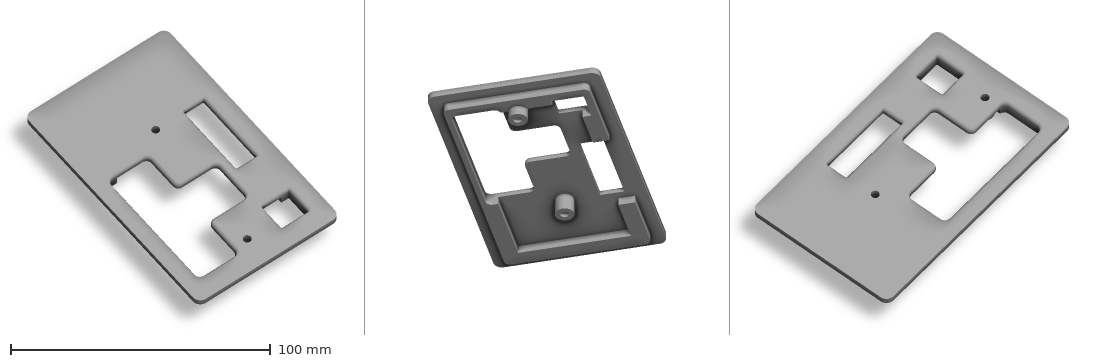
import cadquery as cq

plate_length = 111.3
plate_width = 68.5
plate_thickness = 2.7
plate_corner_radius = 3.5

lip_inset = 5.2
lip_wall = 6.6
lip_height = 3.3
lip_corner_radius = 2.5

total_height = 9.9
boss_diameter = 7.6
screw_hole_diameter = 3.5
boss_centers = [(-19.6, 2.1), (42.7, -0.9)]

rim_radius = 1.5
window_corner_radius = 0.5
slot_left, slot_right = -20.1, 13.4
slot_bottom, slot_top = 16.1, 25.7
square_left, square_right = 33.7, 46.2
square_bottom, square_top = 13.0, 26.0

bay_left, bay_right = -11.9, 46.0
bay_bottom, bay_top = -26.8, -7.6
stem_left, stem_right = 6.8, 26.8
stem_top = 11.5
bay_corner_radius = 2.5

gap_margin = 3.6

plate_bottom = -plate_thickness
lip_bottom = plate_bottom - lip_height
boss_bottom = -total_height

lip_length = plate_length - 2 * lip_inset
lip_width = plate_width - 2 * lip_inset


def block(left, right, front, back, bottom, top):
    """Box between the given X, Y and Z limits."""
    return (
        cq.Workplane("XY", origin=((left + right) / 2, (front + back) / 2, bottom))
        .rect(right - left, back - front)
        .extrude(top - bottom)
    )


def centered_slab(length, width, bottom, top):
    """Box centered on the Z axis."""
    return block(-length / 2, length / 2, -width / 2, width / 2, bottom, top)


def make_plate():
    plate = centered_slab(plate_length, plate_width, plate_bottom, 0)
    return plate.edges("|Z").fillet(plate_corner_radius)


def make_lip():
    """Rectangular ring, left open at the back behind the slot."""
    outer = centered_slab(lip_length, lip_width, lip_bottom, plate_bottom)
    outer = outer.edges("|Z").fillet(lip_corner_radius)
    inner = centered_slab(
        lip_length - 2 * lip_wall, lip_width - 2 * lip_wall, lip_bottom, plate_bottom
    )
    gap = block(
        slot_left - gap_margin, slot_right + gap_margin, slot_bottom, lip_width / 2,
        lip_bottom, plate_bottom,
    )
    return outer.cut(inner).cut(gap)


def make_bosses():
    return (
        cq.Workplane("XY", origin=(0, 0, boss_bottom))
        .pushPoints(boss_centers)
        .circle(boss_diameter / 2)
        .extrude(plate_bottom - boss_bottom)
    )


def make_screw_holes():
    return (
        cq.Workplane("XY", origin=(0, 0, boss_bottom))
        .pushPoints(boss_centers)
        .circle(screw_hole_diameter / 2)
        .extrude(total_height)
    )


def make_window(left, right, front, back):
    """Cutter for a rectangular opening with small corner radii."""
    return block(left, right, front, back, lip_bottom, 0).edges("|Z").fillet(window_corner_radius)


def make_t_opening():
    bay = block(bay_left, bay_right, bay_bottom, bay_top, lip_bottom, 0)
    stem = block(stem_left, stem_right, bay_bottom, stem_top, lip_bottom, 0)
    return bay.union(stem).clean().edges("|Z").fillet(bay_corner_radius)


openings = [
    make_window(slot_left, slot_right, slot_bottom, slot_top),
    make_window(square_left, square_right, square_bottom, square_top),
    make_t_opening(),
]

body = make_plate().union(make_lip())
for opening in openings:
    body = body.cut(opening)

rims = [edge for wire in body.faces(">Z").val().innerWires() for edge in wire.Edges()]
body = body.newObject(rims).fillet(rim_radius)

result = body.union(make_bosses()).cut(make_screw_holes())